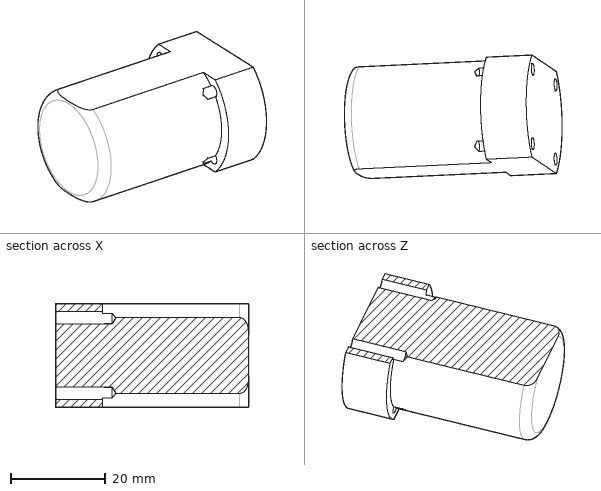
import cadquery as cq
import math

total_length = 41.0
flat_height = 22.0
flange_diameter = 30.0
flange_thickness = 10.0
body_diameter = 25.0
nose_radius = 2.0

hole_diameter = 2.5
hole_spacing_x = 19.02
hole_spacing_z = 16.0
hole_overrun = 2.0
drill_tip_angle = 118.0

body_length = total_length - flange_thickness


def cylinder_along_y(diameter, start_y, length):
    """Solid cylinder on the part axis, growing from start_y toward +Y."""
    return cq.Workplane("XZ", origin=(0, start_y, 0)).circle(diameter / 2).extrude(-length)


body = cylinder_along_y(body_diameter, 0, total_length).faces("<Y").edges().fillet(nose_radius)
flange = cylinder_along_y(flange_diameter, body_length, flange_thickness)
blank = body.union(flange)

flats = cq.Workplane("XY").box(flange_diameter, total_length, flat_height, centered=(True, False, True))
flattened = blank.intersect(flats)

hole_depth = flange_thickness + hole_overrun
tip_depth = hole_diameter / 2 / math.tan(math.radians(drill_tip_angle / 2))
drill = (
    cq.Workplane("XY")
    .moveTo(0, 0)
    .lineTo(hole_diameter / 2, 0)
    .lineTo(hole_diameter / 2, -hole_depth)
    .lineTo(0, -hole_depth - tip_depth)
    .close()
    .revolve(360, (0, 0, 0), (0, 1, 0))
)

result = flattened
for side_x in (-1, 1):
    for side_z in (-1, 1):
        hole_centre = (side_x * hole_spacing_x / 2, total_length, side_z * hole_spacing_z / 2)
        result = result.cut(drill.translate(hole_centre))